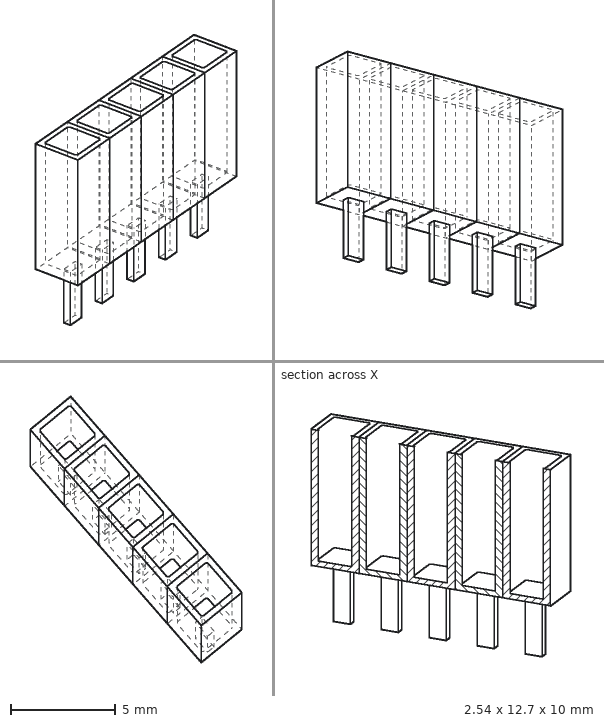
import cadquery as cq

strip_length = 12.7
cell_count = 5
pitch = strip_length / cell_count

housing_height = 7.0
wall_thickness = 0.3
floor_thickness = wall_thickness
cavity_side = pitch - 2 * wall_thickness
cavity_depth = housing_height - floor_thickness
cavity_corner_radius = 0.11

pin_thickness = 0.41
pin_width = 0.9
pin_length = 3.0


def make_housing(center_y):
    """Square box with a round-cornered cavity open at the top."""
    box = (
        cq.Workplane("XY")
        .center(0, center_y)
        .rect(pitch, pitch)
        .extrude(housing_height)
    )
    cavity = (
        cq.Workplane("XY", origin=(0, center_y, floor_thickness))
        .rect(cavity_side, cavity_side)
        .extrude(cavity_depth)
        .edges("|Z")
        .fillet(cavity_corner_radius)
    )
    return box.cut(cavity)


def make_pin(center_y):
    """Rectangular blade hanging down from the housing's underside."""
    return (
        cq.Workplane("XY")
        .center(0, center_y)
        .rect(pin_thickness, pin_width)
        .extrude(-pin_length)
    )


first_center_y = -(strip_length - pitch) / 2
cell_centers_y = [first_center_y + index * pitch for index in range(cell_count)]

housings = [make_housing(center_y).val() for center_y in cell_centers_y]
pins = [make_pin(center_y).val() for center_y in cell_centers_y]

result = cq.Compound.makeCompound([*housings, *pins])